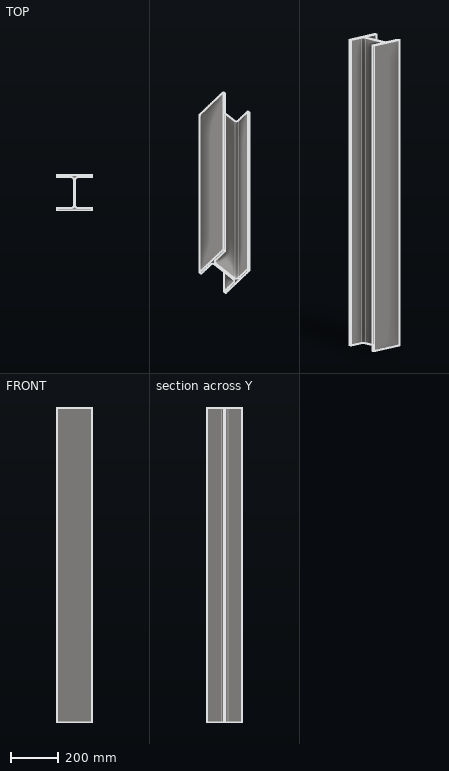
import cadquery as cq

flange_width = 150.0
section_depth = 150.0
length = 1330.0
flange_thickness = 10.0
web_thickness = 7.0
root_radius = 11.0


def h_section_column():
    """Two flanges facing +Y and -Y, joined by a web in the YZ plane."""
    column = cq.Workplane("XY").box(web_thickness, section_depth, length)
    flange_offset = (section_depth - flange_thickness) / 2
    for side in (-1, 1):
        flange = cq.Workplane("XY").box(flange_width, flange_thickness, length)
        column = column.union(flange.translate((0, side * flange_offset, 0)))
    return column


def round_web_roots(column):
    """Fillet the four inside corners where the web meets the flanges."""
    zone_half_depth = (section_depth - flange_thickness) / 2
    root_zone = cq.selectors.BoxSelector(
        (-web_thickness, -zone_half_depth, -length),
        (web_thickness, zone_half_depth, length),
    )
    return column.edges("|Z").edges(root_zone).fillet(root_radius)


result = round_web_roots(h_section_column())